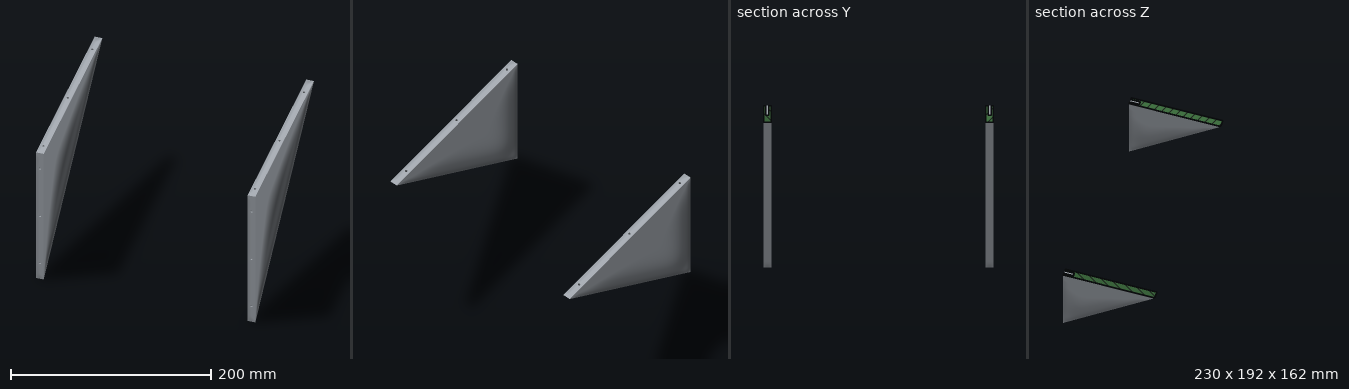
import cadquery as cq

overall_width = 230.0
panel_depth = 192.0
panel_height = 162.0
panel_thickness = 8.0
hole_diameter = 2.5
hole_depth = 10.0
hole_end_margin = 20.0
top_front_margin = 12.0

panel_starts = [0, overall_width - panel_thickness]


def hole_positions(edge_length, start_margin):
    """Distances along an edge of its two outer holes and the one midway between them."""
    first = start_margin
    last = edge_length - hole_end_margin
    return [first, (first + last) / 2, last]


def make_hole(start, direction):
    """Blind hole cutter running from a panel edge into the panel."""
    cutter = cq.Solid.makeCylinder(hole_diameter / 2, hole_depth, cq.Vector(*start), cq.Vector(*direction))
    return cq.Workplane(cutter)


def make_panel(x_start):
    """Right-triangular side panel with screw holes in its front and top edges."""
    panel = (
        cq.Workplane("YZ", origin=(x_start, 0, 0))
        .polyline([(0, 0), (panel_depth, panel_height), (0, panel_height)])
        .close()
        .extrude(panel_thickness)
    )
    x_middle = x_start + panel_thickness / 2

    for z in hole_positions(panel_height, hole_end_margin):
        panel = panel.cut(make_hole((x_middle, 0, z), (0, 1, 0)))

    for y in hole_positions(panel_depth, top_front_margin):
        panel = panel.cut(make_hole((x_middle, y, panel_height), (0, 0, -1)))

    return panel


panels = [make_panel(x_start) for x_start in panel_starts]

result = cq.Compound.makeCompound([panel.solids().val() for panel in panels])